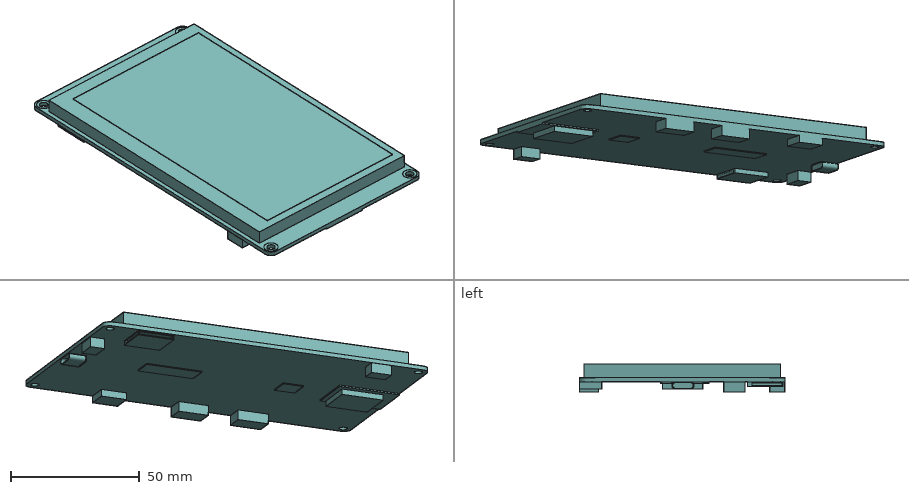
import cadquery as cq

OVERALL_HEIGHT = 11.0
BOARD_LENGTH = 137.2
BOARD_WIDTH = 79.9
BOARD_THICKNESS = 1.6
CORNER_RADIUS = 3.0
EDGE_X = BOARD_LENGTH / 2
EDGE_Y = BOARD_WIDTH / 2

HOLE_INSET = 3.4
HOLE_DIAMETER = 3.2
RECESS_DIAMETER = 5.5
RECESS_DEPTH = 0.05

DISPLAY_LENGTH = 120.6
DISPLAY_WIDTH = 76.3
DISPLAY_HEIGHT = 5.4
WINDOW_LENGTH = 111.4
WINDOW_WIDTH = 66.0
WINDOW_CENTER = (1.0, 2.3)
WINDOW_DEPTH = 0.1

CONNECTOR_HEIGHT = OVERALL_HEIGHT - BOARD_THICKNESS - DISPLAY_HEIGHT
LONG_CONNECTOR_DEPTH = 7.5
LONG_CONNECTORS_X = [(-6.2, 6.3), (19.0, 31.7)]
SMALL_CONNECTOR_LENGTH = 8.4
SMALL_CONNECTOR_DEPTH = 5.9
FRONT_CONNECTOR_X = 43.9
FRONT_CONNECTOR_INSET = 0.1
SIDE_CONNECTOR_Y = -24.4
SIDE_CONNECTOR_INSET = 0.4

USB_LENGTH = 7.3
USB_WIDTH = 8.5
USB_HEIGHT = 2.7
USB_CENTER_Y = -0.3
USB_RADIUS = 1.2
USB_WALL = 0.3
USB_INSET = 0.1

CARD_X = (-54.3, -39.4)
CARD_Y = (-39.0, -25.2)
CARD_HEIGHT = 1.8
CARD_WALL = 0.4
CARD_POST = 0.3
CARD_SLOT_DEPTH = 12.0

CARRIER_X = (43.2, EDGE_X)
CARRIER_Y = (-10.4, 8.5)
CARRIER_HEIGHT = 0.5
SHIELD_X = (45.3, 62.7)
SHIELD_Y = (-8.0, 7.7)
SHIELD_HEIGHT = 2.7

COMPONENT_X = (-39.4, -28.8)
COMPONENT_DEPTH = 8.8
COMPONENT_HEIGHT = 2.7
CHIPS_X = [(-35.7, -12.3), (22.1, 30.6)]
CHIP_WIDTH = 8.5
CHIP_HEIGHT = 0.4


def hanging_block(x_range, y_range, height, top=0.0):
    """Block spanning the given X and Y ranges and reaching down from Z = top."""
    size_x = x_range[1] - x_range[0]
    size_y = y_range[1] - y_range[0]
    block = cq.Workplane("XY").box(size_x, size_y, height, centered=False)
    return block.translate((x_range[0], y_range[0], top - height))


def make_board():
    board = (
        cq.Workplane("XY")
        .box(BOARD_LENGTH, BOARD_WIDTH, BOARD_THICKNESS, centered=(True, True, False))
        .edges("|Z")
        .fillet(CORNER_RADIUS)
    )
    return (
        board.faces(">Z")
        .workplane()
        .rect(BOARD_LENGTH - 2 * HOLE_INSET, BOARD_WIDTH - 2 * HOLE_INSET, forConstruction=True)
        .vertices()
        .cboreHole(HOLE_DIAMETER, RECESS_DIAMETER, RECESS_DEPTH)
    )


def make_display():
    display = (
        cq.Workplane("XY", origin=(0, 0, BOARD_THICKNESS))
        .box(DISPLAY_LENGTH, DISPLAY_WIDTH, DISPLAY_HEIGHT, centered=(True, True, False))
    )
    return (
        display.faces(">Z")
        .workplane()
        .center(*WINDOW_CENTER)
        .rect(WINDOW_LENGTH, WINDOW_WIDTH)
        .cutBlind(-WINDOW_DEPTH)
    )


def make_connectors():
    long_y = (EDGE_Y - LONG_CONNECTOR_DEPTH, EDGE_Y)
    connectors = [hanging_block(x_range, long_y, CONNECTOR_HEIGHT) for x_range in LONG_CONNECTORS_X]

    front_x = (FRONT_CONNECTOR_X, FRONT_CONNECTOR_X + SMALL_CONNECTOR_LENGTH)
    front_face = -EDGE_Y + FRONT_CONNECTOR_INSET
    front_y = (front_face, front_face + SMALL_CONNECTOR_DEPTH)
    connectors.append(hanging_block(front_x, front_y, CONNECTOR_HEIGHT))

    side_face = -EDGE_X + SIDE_CONNECTOR_INSET
    side_x = (side_face, side_face + SMALL_CONNECTOR_DEPTH)
    side_y = (SIDE_CONNECTOR_Y, SIDE_CONNECTOR_Y + SMALL_CONNECTOR_LENGTH)
    connectors.append(hanging_block(side_x, side_y, CONNECTOR_HEIGHT))
    return connectors


def make_usb_socket():
    face_x = -EDGE_X + USB_INSET
    half_width = USB_WIDTH / 2
    y_range = (USB_CENTER_Y - half_width, USB_CENTER_Y + half_width)
    body = hanging_block((face_x, face_x + USB_LENGTH), y_range, USB_HEIGHT)
    body = body.edges("|X").fillet(USB_RADIUS)

    cavity_x = (face_x, face_x + USB_LENGTH - USB_WALL)
    cavity_y = (y_range[0] + USB_WALL, y_range[1] - USB_WALL)
    cavity = hanging_block(cavity_x, cavity_y, USB_HEIGHT - 2 * USB_WALL, top=-USB_WALL)
    return body.cut(cavity.edges("|X").fillet(USB_RADIUS - USB_WALL))


def make_card_socket():
    body = hanging_block(CARD_X, CARD_Y, CARD_HEIGHT)
    slot_height = CARD_HEIGHT - 2 * CARD_WALL
    slot_end = CARD_Y[0] + CARD_SLOT_DEPTH

    slot_x = (CARD_X[0] + CARD_WALL, CARD_X[1] - CARD_WALL)
    slot = hanging_block(slot_x, (CARD_Y[0], slot_end), slot_height, top=-CARD_WALL)

    window_x = (CARD_X[0], slot_x[0])
    window_y = (CARD_Y[0] + CARD_POST, slot_end)
    window = hanging_block(window_x, window_y, slot_height, top=-CARD_WALL)
    return body.cut(slot).cut(window)


def make_wireless_module():
    carrier = hanging_block(CARRIER_X, CARRIER_Y, CARRIER_HEIGHT)
    return carrier.union(hanging_block(SHIELD_X, SHIELD_Y, SHIELD_HEIGHT))


def make_plain_components():
    component_y = (EDGE_Y - COMPONENT_DEPTH, EDGE_Y)
    chip_y = (-CHIP_WIDTH / 2, CHIP_WIDTH / 2)
    components = [hanging_block(COMPONENT_X, component_y, COMPONENT_HEIGHT)]
    components += [hanging_block(x_range, chip_y, CHIP_HEIGHT) for x_range in CHIPS_X]
    return components


result = make_board().union(make_display())
sockets = [make_usb_socket(), make_card_socket(), make_wireless_module()]
for part in make_connectors() + sockets + make_plain_components():
    result = result.union(part)